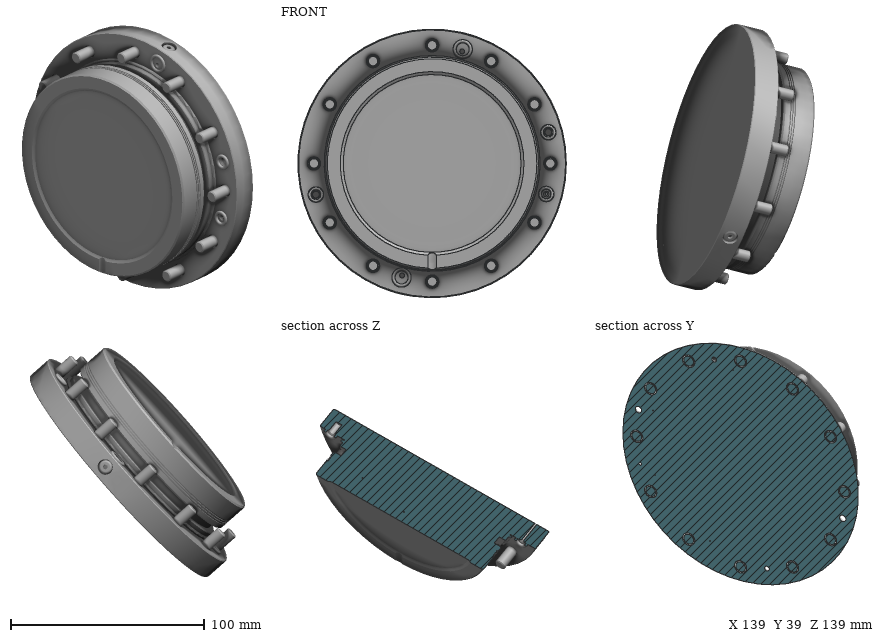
import cadquery as cq
import math


cut_clearance = 1.4

flange_radius = 69.5
flange_thickness = 13.0
flange_chamfer = 0.4

hub_front = 39.0
hub_radius = 55.0
hub_chamfer = 0.8
collar_radius = 54.5
collar_front = 17.5
collar_chamfer = 0.4
neck_radius = 50.7
neck_front = 21.8
neck_taper = 0.8

groove_depth = 0.7
groove_width = 0.7
groove_pitch = 1.18
groove_count = 3
first_groove = 25.2

dish_radius = 47.5
dish_floor_radius = 46.0
dish_depth = 0.8
channel_radius = 4.0
channel_depth = 0.7

port_seal_thickness = 1.7
small_seal_diameter = 8.0
small_seal_height = 1.5
large_seal_diameter = 10.0
large_seal_height = 1.0
hub_seal_diameter = 111.8
hub_seal_thickness = 2.0
hub_seal_height = 2.0

screw_count = 12
screw_circle_radius = 61.2
screw_diameter = 6.0
screw_tip_chamfer = 0.5
screw_front = 24.0
screw_hole_diameter = 7.0
screw_gap_depth = 1.4

large_port_angles = (75, 255)
eccentric_hole_diameter = 2.5
eccentric_hole_radius = screw_circle_radius - 1.1
blind_port_angles = (15, 195)
blind_port_radius = 62.3
blind_port_diameter = 3.5
blind_port_mouth = 4.9
port_depth = 7.0
vent_angle = -15
vent_diameter = 1.1
vent_cone_diameter = 2.9

plug_angles = (75, 255)
plug_hole_diameter = 8.0
plug_hole_depth = 3.0
plug_diameter = 7.2
plug_face_diameter = 4.5
plug_recess = 0.7
plug_dome = 1.1
socket_sides = 6
socket_width = 2.2
socket_depth = 1.4


def polar(radius, angle):
    a = math.radians(angle)
    return (radius * math.cos(a), radius * math.sin(a))


def face_plane(axial):
    """Plane facing -Y at the given distance from the back face."""
    return cq.Workplane("XZ", origin=(0, -axial, 0))


def disc(center, diameter, start, end):
    """Cylinder parallel to the axis between two axial positions."""
    return face_plane(start).center(*center).circle(diameter / 2).extrude(end - start)


def cone(center, mouth_diameter, inner_diameter, depth):
    """Conical cutter narrowing from the flange face into the flange."""
    mouth = face_plane(flange_thickness).center(*center)
    taper = math.degrees(math.atan((mouth_diameter - inner_diameter) / 2 / depth))
    return mouth.circle(mouth_diameter / 2).extrude(-depth, taper=taper)


def seal_ring(center, outer_diameter, thickness, height):
    """Round-section ring whose crest stands the given height above the flange face."""
    tube_radius = thickness / 2
    mean_radius = outer_diameter / 2 - tube_radius
    axial = flange_thickness + height - tube_radius
    position = cq.Vector(center[0], -axial, center[1])
    return cq.Workplane(cq.Solid.makeTorus(mean_radius, tube_radius, position, cq.Vector(0, 1, 0)))


def turned_body():
    outline = [
        (0, 0),
        (flange_radius - flange_chamfer, 0),
        (flange_radius, flange_chamfer),
        (flange_radius, flange_thickness - flange_chamfer),
        (flange_radius - flange_chamfer, flange_thickness),
        (collar_radius, flange_thickness),
        (collar_radius, collar_front - collar_chamfer),
        (collar_radius - collar_chamfer, collar_front),
        (neck_radius, collar_front),
        (neck_radius, neck_front),
        (hub_radius - neck_taper, neck_front),
        (hub_radius, neck_front + neck_taper),
        (hub_radius, hub_front - hub_chamfer),
        (hub_radius - hub_chamfer, hub_front),
        (dish_radius, hub_front),
        (dish_floor_radius, hub_front - dish_depth),
        (0, hub_front - dish_depth),
    ]
    profile = cq.Workplane("XY").polyline([(r, -axial) for r, axial in outline]).close()
    body = profile.revolve(360, (0, 0, 0), (0, 1, 0))
    for i in range(groove_count):
        start = first_groove + i * groove_pitch
        ring = face_plane(start).circle(hub_radius + cut_clearance).circle(hub_radius - groove_depth)
        body = body.cut(ring.extrude(groove_width))
    return body


def drain_channel():
    """Shallow round-bottomed radial channel from the dish to the hub's outer edge."""
    axis_axial = hub_front - channel_depth + channel_radius
    start = cq.Workplane("XY", origin=(0, -axis_axial, -hub_radius - cut_clearance))
    return start.circle(channel_radius).extrude(hub_radius + cut_clearance - dish_floor_radius)


def screws(body):
    gap_floor = flange_thickness - screw_gap_depth
    for i in range(screw_count):
        center = polar(screw_circle_radius, i * 360 / screw_count)
        screw = disc(center, screw_diameter, gap_floor, screw_front).faces("<Y").chamfer(screw_tip_chamfer)
        body = body.cut(disc(center, screw_hole_diameter, gap_floor, flange_thickness)).union(screw)
    return body


def ports(body):
    for angle in large_port_angles:
        hole_center = polar(eccentric_hole_radius, angle)
        port_floor = flange_thickness - port_depth
        body = body.cut(disc(hole_center, eccentric_hole_diameter, port_floor, flange_thickness))
        center = polar(screw_circle_radius, angle)
        body = body.union(seal_ring(center, large_seal_diameter, port_seal_thickness, large_seal_height))
    for angle in blind_port_angles:
        center = polar(blind_port_radius, angle)
        mouth_depth = (blind_port_mouth - blind_port_diameter) / 2
        body = body.cut(disc(center, blind_port_diameter, flange_thickness - port_depth, flange_thickness))
        body = body.cut(cone(center, blind_port_mouth, blind_port_diameter, mouth_depth))
        body = body.union(seal_ring(center, small_seal_diameter, port_seal_thickness, small_seal_height))
    vent_center = polar(screw_circle_radius, vent_angle)
    cone_depth = (vent_cone_diameter - vent_diameter) / 2
    body = body.cut(disc(vent_center, vent_diameter, 0, flange_thickness))
    body = body.cut(cone(vent_center, vent_cone_diameter, vent_diameter, cone_depth))
    vent_seal = seal_ring(vent_center, small_seal_diameter, port_seal_thickness, small_seal_height)
    return body.union(vent_seal)


def rim_plug(body, angle):
    """Domed socket plug sunk in a radial hole at mid thickness of the rim."""
    x, z = polar(1, angle)
    seat_radius = flange_radius - plug_hole_depth
    seat = cq.Plane(
        origin=(seat_radius * x, -flange_thickness / 2, seat_radius * z),
        xDir=(0, 1, 0),
        normal=(x, 0, z),
    )
    hole = cq.Workplane(seat).circle(plug_hole_diameter / 2).extrude(plug_hole_depth + cut_clearance)
    plug_height = plug_hole_depth - plug_recess
    dome_start = plug_height - plug_dome
    outer = plug_diameter / 2
    face = plug_face_diameter / 2
    bulge = math.sin(math.radians(45))
    dome_middle = (face + (outer - face) * bulge, dome_start + plug_dome * bulge)
    section_plane = cq.Plane(origin=seat.origin, xDir=(0, 1, 0), normal=seat.yDir.multiply(-1))
    section = cq.Workplane(section_plane).lineTo(outer, 0).lineTo(outer, dome_start)
    section = section.threePointArc(dome_middle, (face, plug_height)).lineTo(0, plug_height).close()
    plug = section.revolve(360, (0, 0, 0), (0, 1, 0))
    socket = cq.Workplane(seat).workplane(offset=plug_height)
    socket_corner_diameter = socket_width / math.cos(math.pi / socket_sides)
    plug = plug.cut(socket.polygon(socket_sides, socket_corner_diameter).extrude(-socket_depth))
    return body.cut(hole).union(plug)


result = turned_body().cut(drain_channel())
result = result.union(seal_ring((0, 0), hub_seal_diameter, hub_seal_thickness, hub_seal_height))
result = ports(result)
result = screws(result)
for plug_angle in plug_angles:
    result = rim_plug(result, plug_angle)